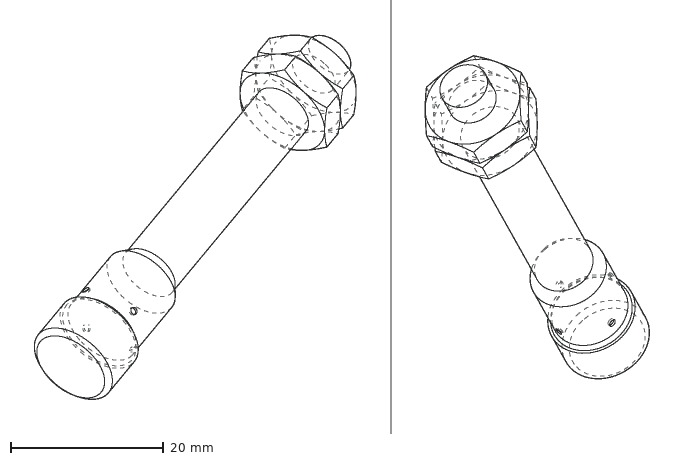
import cadquery as cq
import math

total_length = 66.0
front_y = -total_length / 2
back_y = total_length / 2

head_diameter = 12.0
head_length = 7.25
head_chamfer_length = 0.65
head_chamfer_depth = 0.8
neck_length = 0.7
neck_diameter = 11.2
collar_diameter = 10.5
collar_length = 9.95
taper_length = 2.0
tube_diameter = 8.05
stub_diameter = 6.55
stub_length = 4.0

dimple_diameter = 1.0
dimple_depth = 0.3
dimple_count = 4
dimple_first_angle = 45.0
dimple_to_neck = 2.0

nut_width = 13.0
nut_thickness = 4.0
nut_count = 2
nut_chamfer_angle = 30.0

head_back_y = front_y + head_length
collar_front_y = head_back_y + neck_length
collar_back_y = collar_front_y + collar_length
tube_front_y = collar_back_y + taper_length
stub_front_y = back_y - stub_length
dimple_y = collar_front_y + dimple_to_neck


def revolve_about_y(points):
    """Revolve a closed (radius, y) outline around the Y axis."""
    return cq.Workplane("XY").polyline(points).close().revolve(360, (0, 0), (0, 1))


def make_body():
    return revolve_about_y([
        (0, front_y),
        (head_diameter / 2 - head_chamfer_depth, front_y),
        (head_diameter / 2, front_y + head_chamfer_length),
        (head_diameter / 2, head_back_y),
        (neck_diameter / 2, head_back_y),
        (collar_diameter / 2, collar_front_y),
        (collar_diameter / 2, collar_back_y),
        (tube_diameter / 2, tube_front_y),
        (tube_diameter / 2, stub_front_y),
        (stub_diameter / 2, stub_front_y),
        (stub_diameter / 2, back_y),
        (0, back_y),
    ])


def make_nut(nut_front_y):
    """Hexagon with corners on Z, both faces turned down to a circle as wide as the flats."""
    nut_back_y = nut_front_y + nut_thickness
    corner_radius = nut_width / 2 / math.cos(math.radians(30))
    face_radius = nut_width / 2
    chamfer_length = (corner_radius - face_radius) * math.tan(math.radians(nut_chamfer_angle))
    corners = []
    for index in range(6):
        angle = math.radians(90 + 60 * index)
        corners.append((corner_radius * math.cos(angle), corner_radius * math.sin(angle)))
    hexagon = (
        cq.Workplane("XZ", origin=(0, nut_back_y, 0))
        .polyline(corners)
        .close()
        .extrude(nut_thickness)
    )
    turned_blank = revolve_about_y([
        (0, nut_front_y),
        (face_radius, nut_front_y),
        (corner_radius, nut_front_y + chamfer_length),
        (corner_radius, nut_back_y - chamfer_length),
        (face_radius, nut_back_y),
        (0, nut_back_y),
    ])
    return hexagon.intersect(turned_blank)


def make_dimple(angle):
    """Radial cutter that reaches just below the collar surface."""
    direction = cq.Vector(math.cos(math.radians(angle)), 0, math.sin(math.radians(angle)))
    floor = direction * (collar_diameter / 2 - dimple_depth) + cq.Vector(0, dimple_y, 0)
    cutter_length = 2 * dimple_depth
    return cq.Workplane(cq.Solid.makeCylinder(dimple_diameter / 2, cutter_length, floor, direction))


result = make_body()
for index in range(nut_count):
    result = result.union(make_nut(stub_front_y - (index + 1) * nut_thickness))
for index in range(dimple_count):
    result = result.cut(make_dimple(dimple_first_angle + index * 360 / dimple_count))